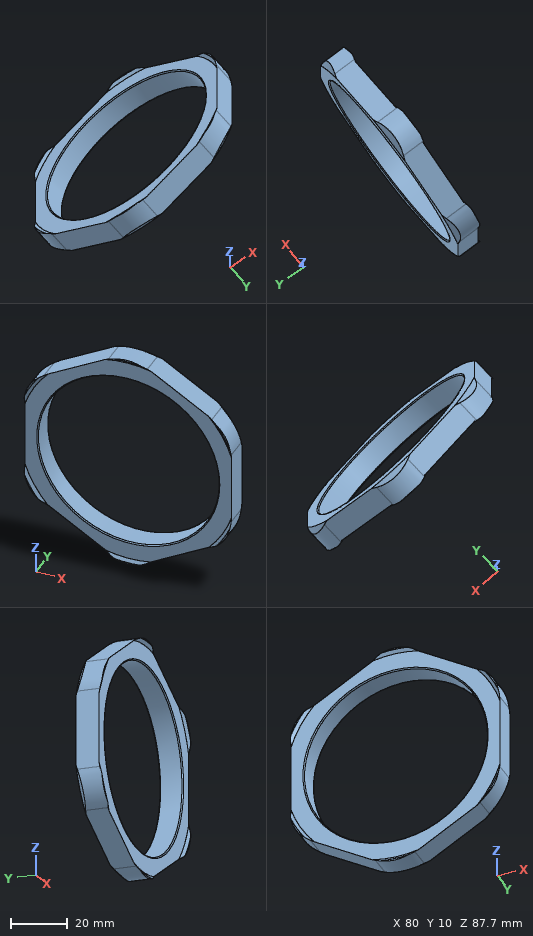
import cadquery as cq
import math

across_flats = 80.0
across_corners = 87.7
thickness = 10.0
bore_diameter = 70.0
bore_chamfer = 0.4
back_chamfer = 2.0
recess_depth = 1.0
recess_floor_radius = 42.0
recess_rim_radius = 43.25

corner_radius = across_corners / 2
bore_radius = bore_diameter / 2
front_y = -thickness / 2
back_y = thickness / 2
face_y = front_y + recess_depth
sharp_corner_diameter = across_flats / math.cos(math.radians(30))
sharp_corner_radius = sharp_corner_diameter / 2
corner_rounding = (sharp_corner_radius - corner_radius) / (1 / math.cos(math.radians(30)) - 1)


def revolve_about_y(points):
    """Revolve a closed profile of (radius, y) points about the Y axis."""
    return cq.Workplane("XY").polyline(points).close().revolve(360, (0, 0, 0), (0, 1, 0))


def rounded_hexagon():
    """Hexagonal prism along Y with rounded corners."""
    prism = (
        cq.Workplane("XZ", origin=(0, back_y, 0))
        .transformed(rotate=(0, 0, 90))
        .polygon(6, sharp_corner_diameter)
        .extrude(thickness)
    )
    return prism.edges("|Y").fillet(corner_rounding)


def ring_envelope():
    """Turned ring: bore chamfered at both ends, recessed front face and 45 degree back chamfer."""
    wall_radius = sharp_corner_radius
    chamfer_height = wall_radius - (corner_radius - back_chamfer)
    return revolve_about_y([
        (bore_radius, face_y + bore_chamfer),
        (bore_radius + bore_chamfer, face_y),
        (recess_floor_radius, face_y),
        (recess_rim_radius, front_y),
        (wall_radius, front_y),
        (wall_radius, back_y - chamfer_height),
        (corner_radius - back_chamfer, back_y),
        (bore_radius + bore_chamfer, back_y),
        (bore_radius, back_y - bore_chamfer),
    ])


result = rounded_hexagon().intersect(ring_envelope())